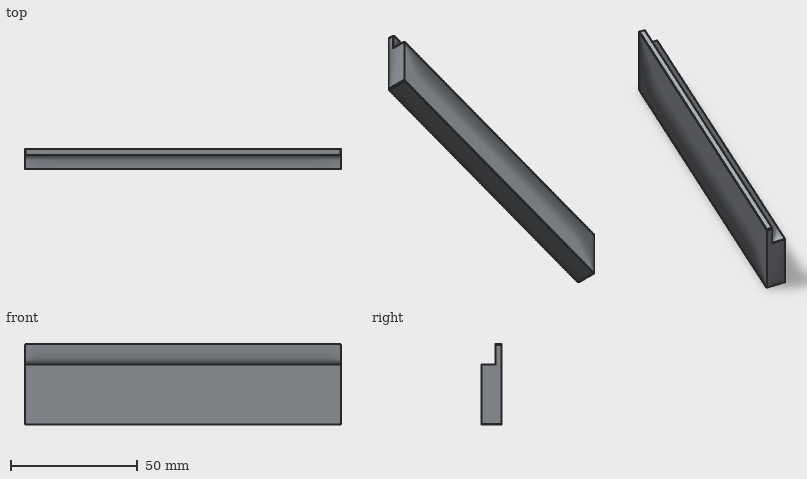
import cadquery as cq

length = 125.0
thickness = 8.0
height = 32.0

lip_height = 8.0
lip_thickness = 2.5

corner_chamfer = 0.5
edge_chamfer = 0.2

body_height = height - lip_height
lip_front = thickness - lip_thickness


def make_stepped_bar():
    """L-shaped cross-section in the YZ plane, extruded along X."""
    return (
        cq.Workplane("YZ")
        .moveTo(0, 0)
        .lineTo(thickness, 0)
        .lineTo(thickness, height)
        .lineTo(lip_front, height)
        .lineTo(lip_front, body_height)
        .lineTo(0, body_height)
        .close()
        .extrude(length)
    )


def chamfer_end_corners(bar):
    """Chamfer the edges along Y at the top and bottom of both ends."""
    return bar.edges("|Y").edges("<Z or >Z").chamfer(corner_chamfer)


def break_outer_edges(bar):
    """Lightly chamfer the other outer edges.

    The inside corner at the foot of the lip stays sharp, and so do the edges
    along Y that border the corner chamfers.
    """
    inside_corner = cq.selectors.NearestToPointSelector((length / 2, lip_front, body_height))
    lengthwise_edges = bar.edges("|X").edges(cq.selectors.InverseSelector(inside_corner))
    end_outline_edges = bar.edges("not (|X or |Y)")
    step_height_band = cq.selectors.BoxSelector(
        (-corner_chamfer, 0, body_height - corner_chamfer),
        (length + corner_chamfer, thickness, body_height + corner_chamfer),
    )
    step_end_edges = bar.edges("|Y").edges(step_height_band)
    outer_edges = lengthwise_edges.add(end_outline_edges).add(step_end_edges)
    return outer_edges.chamfer(edge_chamfer)


result = make_stepped_bar()
result = chamfer_end_corners(result)
result = break_outer_edges(result)